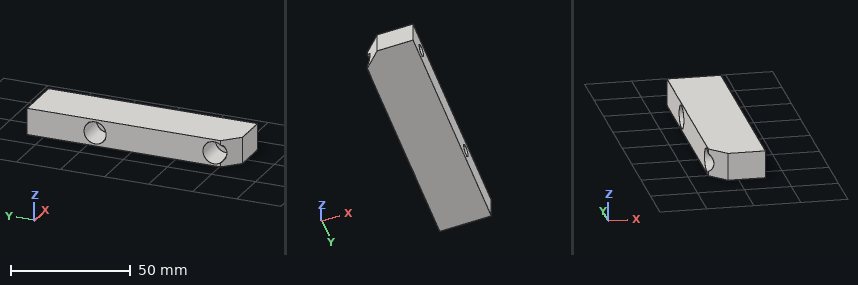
import cadquery as cq

WIDTH = 23.0
LENGTH = 95.0
HEIGHT = 12.0
CORNER_CUT = 7.0

FIRST_HOLE_Y = 10.0
HOLE_SPACING = 54.0
HOLE_COUNT = 2
HOLE_DIAMETER = 5.2
HEAD_DIAMETER = 10.0
HEAD_DEPTH = 13.0


def make_bar():
    """Rectangular bar with its -X, -Y corner cut off, lowest corner at the origin."""
    return (
        cq.Workplane("XY")
        .moveTo(CORNER_CUT, 0)
        .lineTo(WIDTH, 0)
        .lineTo(WIDTH, LENGTH)
        .lineTo(0, LENGTH)
        .lineTo(0, CORNER_CUT)
        .close()
        .extrude(HEIGHT)
    )


def make_bore(y, diameter, depth):
    """Cylinder from the -X side into the bar at mid height."""
    return (
        cq.Workplane("YZ")
        .center(y, HEIGHT / 2)
        .circle(diameter / 2)
        .extrude(depth)
    )


def cut_screw_hole(body, y):
    """Through hole with a deep counterbore for the screw head."""
    body = body.cut(make_bore(y, HOLE_DIAMETER, WIDTH))
    return body.cut(make_bore(y, HEAD_DIAMETER, HEAD_DEPTH))


result = make_bar()
for index in range(HOLE_COUNT):
    result = cut_screw_hole(result, FIRST_HOLE_Y + index * HOLE_SPACING)